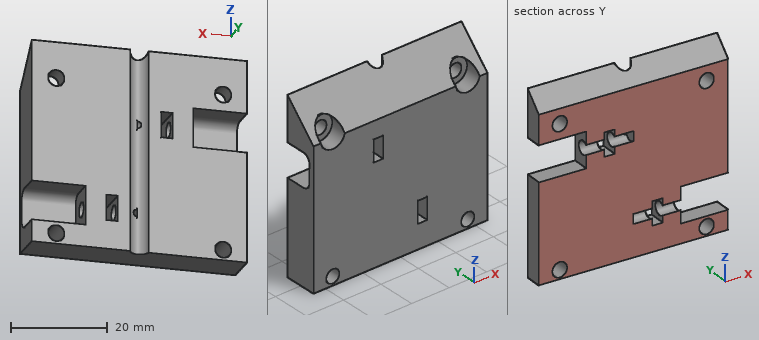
import cadquery as cq

width = 46.5
thickness = 8.5
height = 44.1
bevel_height = 8.5
center_x = width / 2

hole_diameter = 3.5
counterbore_diameter = 6.5
counterbore_floor_y = 4.2
left_hole_x = 5.15
hole_spacing_x = 36.05
lower_hole_z = 2.3
upper_hole_z = 36.22

groove_diameter = 4.05
groove_depth = 1.65
groove_center_y = thickness - groove_depth + groove_diameter / 2

slot_width = 2.5
slot_height = 5.6
slot_offset_x = 5.9
upper_slot_z = 28.3
lower_slot_z = 9.0

pocket_height = 8.5
pocket_depth_y = 7.15
pocket_length = 11.62
pocket_radius = 2.0
end_hole_diameter = 3.25
end_hole_y = 5.45
end_hole_depth = center_x - pocket_length


def drill(x, z, diameter, depth=thickness):
    """Cylinder running from the front face toward the back."""
    start = cq.Vector(x, 0, z)
    return cq.Workplane(cq.Solid.makeCylinder(diameter / 2, depth, start, cq.Vector(0, 1, 0)))


def slot(x, z):
    """Rectangular cutter through the whole thickness."""
    return cq.Workplane("XY").box(slot_width, thickness, slot_height).translate((x, thickness / 2, z))


def side_pocket(z):
    """Pocket cutter from the -X side, with its end hole."""
    pocket = (
        cq.Workplane("XY")
        .box(pocket_length, pocket_depth_y, pocket_height)
        .edges("|X and <Y")
        .fillet(pocket_radius)
        .translate((pocket_length / 2, thickness - pocket_depth_y / 2, z))
    )
    end_hole = cq.Solid.makeCylinder(
        end_hole_diameter / 2,
        end_hole_depth,
        cq.Vector(pocket_length, end_hole_y, z),
        cq.Vector(1, 0, 0),
    )
    return pocket.union(cq.Workplane(end_hole))


result = (
    cq.Workplane("YZ")
    .polyline([(0, 0), (thickness, 0), (thickness, height), (0, height - bevel_height)])
    .close()
    .extrude(width)
)

for hole_x in (left_hole_x, left_hole_x + hole_spacing_x):
    result = result.cut(drill(hole_x, lower_hole_z, hole_diameter))
    result = result.cut(drill(hole_x, upper_hole_z, hole_diameter))
    result = result.cut(drill(hole_x, upper_hole_z, counterbore_diameter, counterbore_floor_y))

groove = (
    cq.Workplane("XY")
    .center(center_x, groove_center_y)
    .circle(groove_diameter / 2)
    .extrude(height)
)
result = result.cut(groove)
result = result.cut(slot(center_x - slot_offset_x, upper_slot_z))
result = result.cut(slot(center_x + slot_offset_x, lower_slot_z))
result = result.cut(side_pocket(upper_slot_z))
opposite_pocket = side_pocket(lower_slot_z).mirror("YZ", (center_x, 0, 0))
result = result.cut(opposite_pocket)